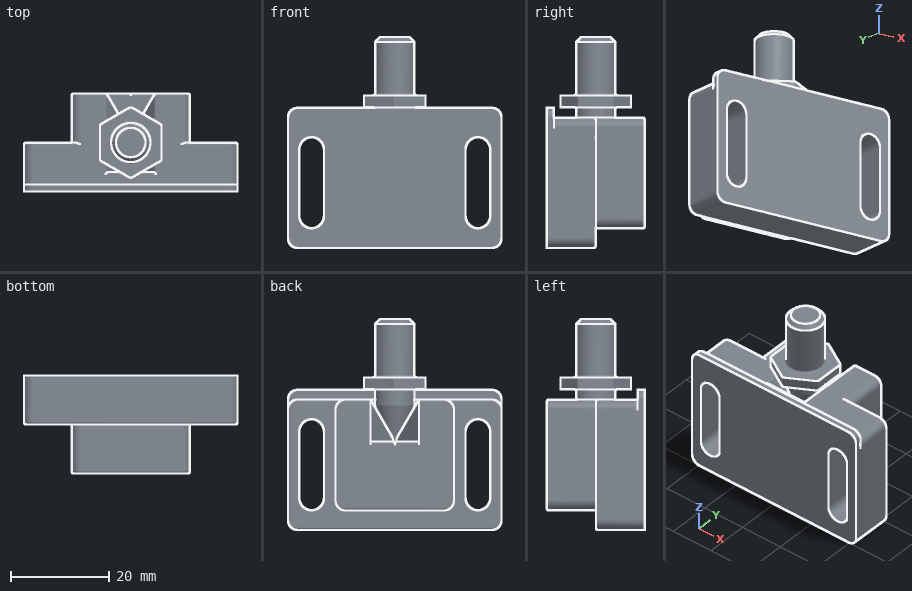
import cadquery as cq
import math

width = 43.5
depth = 20.0
plate_height = 28.6
lip_thickness = 1.5
corner_radius = 2.0
edge_radius = 0.5
body_top = plate_height - corner_radius
wing_depth = depth / 2
block_width = 24.1
block_bottom = 2 * corner_radius

slot_width = 4.95
slot_length = 18.5
slot_spacing = 33.85
slot_center_z = 13.3

pocket_width = 9.85
pocket_front = 4.0
pocket_half_angle = 30.0
mouth_half_angle = 30.0
rim_radius = 0.45
pocket_depth = pocket_width / 2 / math.tan(math.radians(pocket_half_angle))
mouth_length = pocket_width / 2 / math.tan(math.radians(mouth_half_angle))
pocket_floor = body_top - pocket_depth

stud_y = depth / 2
stud_radius = 8.0 / 2
stud_top = 42.98
stud_chamfer = 1.0
root_radius = 0.45
collar_flats = 12.55
collar_bottom = 28.65
collar_top = 31.1
cone_drop = 1.3
cone_half_angle = 15.0
cone_top = body_top - cone_drop
tip_radius = stud_radius - (cone_top - pocket_floor) * math.tan(math.radians(cone_half_angle))


def rounded_block(size_x, bottom, top, size_y):
    """Box from y = 0 to size_y with its four corners rounded about Y."""
    block = cq.Workplane("XY").box(size_x, size_y, top - bottom, centered=(True, False, False))
    return block.translate((0, 0, bottom)).edges("|Y").fillet(corner_radius)


def make_base():
    """Front lip, full-width wings and narrower rear block."""
    lip = rounded_block(width, 0, plate_height, lip_thickness)
    wings = rounded_block(width, 0, body_top, wing_depth).faces(">Y").edges().fillet(edge_radius)
    block = rounded_block(block_width, block_bottom, body_top, depth).faces(">Y").edges().fillet(edge_radius)
    return lip.union(wings).union(block)


def make_mounting_slots():
    """Two vertical slots running through the wings along Y."""
    return (
        cq.Workplane("XZ")
        .pushPoints([(-slot_spacing / 2, slot_center_z), (slot_spacing / 2, slot_center_z)])
        .slot2D(slot_length, slot_width, 90)
        .extrude(-depth)
    )


def make_floor_rounding():
    """Waste removed to round the rear edge of the pocket floor."""
    return (
        cq.Workplane("YZ", origin=(-pocket_width / 2, 0, 0))
        .moveTo(depth - edge_radius, pocket_floor)
        .lineTo(depth, pocket_floor)
        .lineTo(depth, pocket_floor - edge_radius)
        .radiusArc((depth - edge_radius, pocket_floor), -edge_radius)
        .close()
        .extrude(pocket_width)
    )


def cut_pocket(body):
    """V groove with a rounded rim, widened at the rear by a flared mouth."""
    half = pocket_width / 2
    groove = (
        cq.Workplane("XZ", origin=(0, pocket_front, 0))
        .polyline([(-half, body_top), (half, body_top), (0, pocket_floor)])
        .close()
        .extrude(-(depth - pocket_front))
    )
    body = body.cut(groove)
    rim = cq.selectors.BoxSelector(
        (-half - rim_radius, pocket_front - rim_radius, body_top - rim_radius / 2),
        (half + rim_radius, depth - 2 * edge_radius, body_top + rim_radius),
    )
    body = body.edges(rim).fillet(rim_radius)
    mouth = (
        cq.Workplane("XY", origin=(0, 0, pocket_floor))
        .polyline([(-half, depth), (half, depth), (0, depth - mouth_length)])
        .close()
        .extrude(pocket_depth)
    )
    return body.cut(mouth.union(make_floor_rounding()))


def make_stud():
    """Chamfered shank with a hexagonal collar and a tapered lower end."""
    collar = (
        cq.Workplane("XY", origin=(0, 0, collar_bottom))
        .transformed(rotate=(0, 0, 90))
        .polygon(6, collar_flats / math.cos(math.pi / 6))
        .extrude(collar_top - collar_bottom)
        .edges("|Z")
        .fillet(edge_radius)
    )
    root = stud_radius + root_radius
    shank = (
        cq.Workplane("XZ")
        .moveTo(0, pocket_floor)
        .lineTo(tip_radius, pocket_floor)
        .lineTo(stud_radius, cone_top)
        .lineTo(stud_radius, collar_bottom - root_radius)
        .radiusArc((root, collar_bottom), root_radius)
        .lineTo(root, collar_top)
        .radiusArc((stud_radius, collar_top + root_radius), root_radius)
        .lineTo(stud_radius, stud_top - stud_chamfer)
        .lineTo(stud_radius - stud_chamfer, stud_top)
        .lineTo(0, stud_top)
        .close()
        .revolve(360, (0, 0, 0), (0, 1, 0))
    )
    return shank.union(collar).translate((0, stud_y, 0))


stud = make_stud()

housing = cut_pocket(make_base().cut(make_mounting_slots())).cut(stud)

result = cq.Compound.makeCompound([housing.val(), stud.val()])